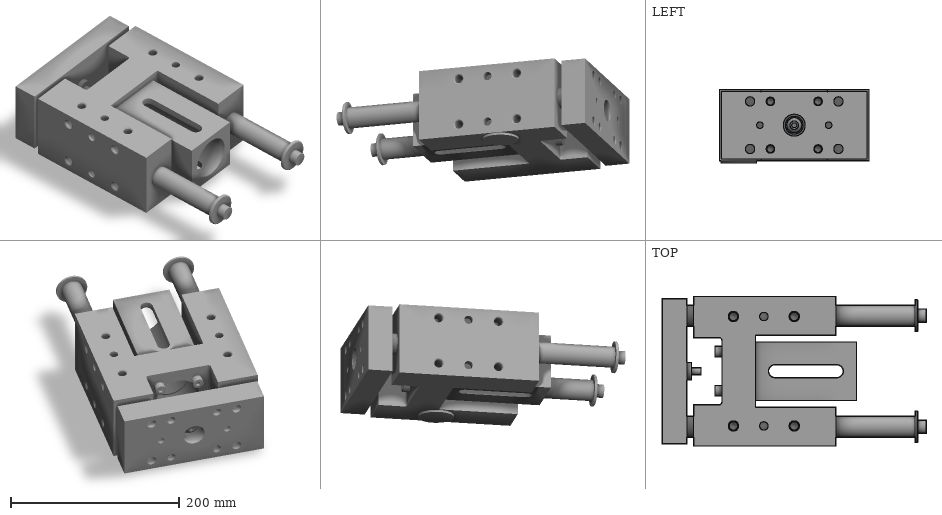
import cadquery as cq
import math

total_length = 314.0

plate_length = 29.5
plate_width = 172.5
plate_height = 80.0
plate_center_z = -0.3
plate_thread_x_depth = 18.8
plate_thread_y = 28.3
plate_clearance_y = 52.5
plate_pin_y = 40.8
plate_hole_z = 28.3
plate_clearance_diameter = 11.0
plate_clearance_depth = 18.8
plate_pin_diameter = 8.0
plate_pin_depth = 10.0
plate_thread_diameter = 10.0
plate_drill_diameter = 8.5

coupling_bore_diameter = 26.0
coupling_bore_depth = 20.0
boss_diameter = 21.0
boss_start_x = 17.0
boss_end_x = 35.2
stud_diameter = 8.5
stud_end_x = 46.5
screw_head_diameter = 18.0
screw_head_flat_diameter = 10.0
screw_head_height = 5.0
screw_socket_width = 5.5
screw_socket_depth = 3.0

rod_diameter = 25.0
rod_y = 66.0
flange_diameter = 38.0
flange_start_x = 300.5
flange_thickness = 3.5
flange_chamfer = 1.0
rod_end_diameter = 16.0

housing_start_x = 37.5
housing_length = 169.0
housing_width = 178.0
housing_height = 85.0
pocket_end_x = 71.0
pocket_width = 79.5
pocket_corner_radius = 3.0
rear_gap_start_x = 111.0
rear_gap_width = 85.5

hole_middle_x = 121.0
hole_pitch_x = 36.0
top_hole_y = 65.0
side_hole_z = 28.3
thread_diameter = 12.2
thread_drill_diameter = 10.0
thread_depth = 25.0
pin_hole_diameter = 10.0
pin_hole_depth = 10.0
drill_tip_angle = 118.0

tongue_end_x = 231.0
tongue_width = 69.7
tongue_height = 65.0
slot_start_x = 126.5
slot_end_x = 215.0
slot_width = 15.0
tongue_bore_diameter = 50.2
crossbar_bore_diameter = 53.5

cap_screw_diameter = 13.0
cap_screw_height = 8.2
cap_screw_offset = 23.2
cap_socket_width = 6.0
cap_socket_depth = 4.0

foot_diameter = 42.7
foot_height = 2.5
foot_x = 111.8
foot_y = 66.0

X_AXIS = (1, 0, 0)
Z_DOWN = (0, 0, -1)


def cylinder(diameter, length, start, direction):
    """Solid cylinder running from a start point along a direction."""
    return cq.Workplane(cq.Solid.makeCylinder(diameter / 2, length, cq.Vector(*start), cq.Vector(*direction)))


def x_cylinder(diameter, start_x, end_x, y=0.0, z=0.0):
    """Solid cylinder parallel to X between two X positions."""
    return cylinder(diameter, end_x - start_x, (start_x, y, z), X_AXIS)


def block(start_x, end_x, width, height, center_z=0.0):
    """Rectangular block centred on Y = 0."""
    return (
        cq.Workplane()
        .box(end_x - start_x, width, height)
        .translate(((start_x + end_x) / 2, 0, center_z))
    )


def threaded_hole(outer_diameter, drill_diameter, depth, start, direction):
    """Tool for a blind hole with a conical tip and a chamfered mouth."""
    outer_radius = outer_diameter / 2
    radius = drill_diameter / 2
    chamfer = outer_radius - radius
    tip_height = radius / math.tan(math.radians(drill_tip_angle / 2))
    profile = cq.Workplane().polyline(
        [
            (0, 0),
            (outer_radius, 0),
            (radius, chamfer),
            (radius, depth),
            (0, depth + tip_height),
        ]
    ).close()
    tool = profile.revolve(360, (0, 0, 0), (0, 1, 0)).val()
    axis = cq.Vector(*direction)
    side = cq.Vector(0, 0, 1) if abs(axis.z) < 0.5 else cq.Vector(1, 0, 0)
    plane = cq.Plane(origin=start, xDir=side, normal=side.cross(axis))
    return cq.Workplane(tool.moved(cq.Location(plane)))


def cut_plate_holes(plate):
    """Screw, thread and dowel holes in the front face of the plate."""
    for side in (-1, 1):
        pin_y = side * plate_pin_y
        plate = plate.cut(x_cylinder(plate_pin_diameter, 0, plate_pin_depth, pin_y))
        for level in (-1, 1):
            z = level * plate_hole_z
            plate = plate.cut(
                x_cylinder(plate_clearance_diameter, 0, plate_clearance_depth, side * plate_clearance_y, z)
            )
            plate = plate.cut(
                threaded_hole(
                    plate_thread_diameter,
                    plate_drill_diameter,
                    plate_thread_x_depth,
                    (0, side * plate_thread_y, z),
                    X_AXIS,
                )
            )
    return plate


def hex_socket(width, depth, start_x, y=0.0, z=0.0):
    """Hexagonal recess tool with two corners pointing up and down."""
    return (
        cq.Workplane("YZ", origin=(start_x, y, z))
        .transformed(rotate=(0, 0, 90))
        .polygon(6, width, circumscribed=True)
        .extrude(depth)
    )


def make_domed_head():
    """Screw head: part of a sphere with a flat front, standing on the front of the boss."""
    head_radius = screw_head_diameter / 2
    flat_radius = screw_head_flat_diameter / 2
    center_offset = (head_radius**2 - flat_radius**2 - screw_head_height**2) / (2 * screw_head_height)
    sphere = cq.Workplane().sphere(math.hypot(center_offset, head_radius))
    sphere = sphere.translate((boss_start_x + center_offset, 0, 0))
    head_x = boss_start_x - screw_head_height
    head = x_cylinder(screw_head_diameter, head_x, boss_start_x).intersect(sphere)
    return head.cut(hex_socket(screw_socket_width, screw_socket_depth, head_x))


def make_coupling():
    """Boss through the plate with a stud behind it and a domed socket screw in front."""
    boss = x_cylinder(boss_diameter, boss_start_x, boss_end_x)
    stud = x_cylinder(stud_diameter, boss_end_x, stud_end_x)
    return boss.union(stud).union(make_domed_head())


def make_rod(y):
    """Guide rod with an end flange and a short spigot."""
    flange_end_x = flange_start_x + flange_thickness
    rod = x_cylinder(rod_diameter, plate_length, flange_start_x, y)
    flange = x_cylinder(flange_diameter, flange_start_x, flange_end_x, y)
    flange = flange.edges(">X").chamfer(flange_chamfer)
    spigot = x_cylinder(rod_end_diameter, flange_end_x, total_length, y)
    return rod.union(flange).union(spigot)


def make_slider():
    """Front plate carrying the coupling and both guide rods."""
    plate = block(0, plate_length, plate_width, plate_height, plate_center_z)
    plate = plate.cut(x_cylinder(coupling_bore_diameter, 0, coupling_bore_depth))
    slider = cut_plate_holes(plate).union(make_coupling())
    for side in (-1, 1):
        slider = slider.union(make_rod(side * rod_y))
    return slider


def make_block():
    """H-shaped block with a front pocket and a rear gap."""
    end_x = housing_start_x + housing_length
    body = block(housing_start_x, end_x, housing_width, housing_height)
    pocket = block(housing_start_x, pocket_end_x, pocket_width, housing_height)
    pocket = pocket.edges("|Z and >X").fillet(pocket_corner_radius)
    rear_gap = block(rear_gap_start_x, end_x, rear_gap_width, housing_height)
    return body.cut(pocket).cut(rear_gap)


def make_tongue():
    """Tongue with a vertical through slot."""
    tongue = block(rear_gap_start_x, tongue_end_x, tongue_width, tongue_height)
    slot = (
        cq.Workplane()
        .center((slot_start_x + slot_end_x) / 2, 0)
        .slot2D(slot_end_x - slot_start_x, slot_width)
        .extrude(tongue_height, both=True)
    )
    return tongue.cut(slot)


def make_cap_screws():
    """Four socket screw heads standing on the pocket wall."""
    head_x = pocket_end_x - cap_screw_height
    screws = cq.Workplane()
    for side in (-1, 1):
        for level in (-1, 1):
            y = side * cap_screw_offset
            z = level * cap_screw_offset
            head = x_cylinder(cap_screw_diameter, head_x, pocket_end_x, y, z)
            socket = hex_socket(cap_socket_width, cap_socket_depth, head_x, y, z)
            screws = screws.add(head.cut(socket))
    return screws


def cut_mounting_rows(body):
    """Rows of two threaded holes around a pin hole, in the top and on both sides."""
    half_width = housing_width / 2
    rows = []
    for side in (-1, 1):
        rows.append(((side * top_hole_y, housing_height / 2), Z_DOWN))
        for level in (-1, 1):
            rows.append(((side * half_width, level * side_hole_z), (0, -side, 0)))
    for (y, z), direction in rows:
        for step in (-1, 1):
            start = (hole_middle_x + step * hole_pitch_x, y, z)
            body = body.cut(threaded_hole(thread_diameter, thread_drill_diameter, thread_depth, start, direction))
        body = body.cut(cylinder(pin_hole_diameter, pin_hole_depth, (hole_middle_x, y, z), direction))
    return body


def make_housing():
    """Block with tongue, screw heads, foot, rod bores and mounting holes."""
    housing = make_block().union(make_tongue())
    housing = housing.cut(x_cylinder(crossbar_bore_diameter, pocket_end_x, rear_gap_start_x))
    housing = housing.cut(x_cylinder(tongue_bore_diameter, rear_gap_start_x, tongue_end_x))
    for screw in make_cap_screws().vals():
        housing = housing.union(cq.Workplane(screw))
    housing = housing.union(cylinder(foot_diameter, foot_height, (foot_x, foot_y, -housing_height / 2), Z_DOWN))
    for side in (-1, 1):
        housing = housing.cut(
            x_cylinder(rod_diameter, housing_start_x, housing_start_x + housing_length, side * rod_y)
        )
    return cut_mounting_rows(housing)


slider = make_slider()
housing = make_housing()
result = cq.Compound.makeCompound([slider.val(), housing.val()])